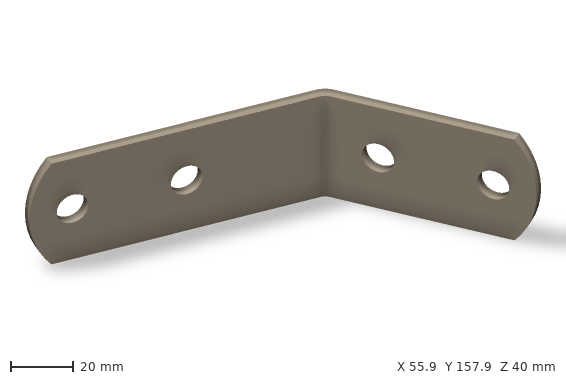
import cadquery as cq
import math

overall_length = 157.9
thickness = 4.0
width = 40.0
bend_angle = 45.0
inner_bend_radius = 4.0
short_leg_length = 71.7
end_radius = 30.0
hole_diameter = 11.0
hole_setbacks = (15.0, 55.0)

outer_bend_radius = inner_bend_radius + thickness
bend_rise = (outer_bend_radius + short_leg_length) * math.sin(math.radians(bend_angle))
long_leg_length = overall_length - bend_rise
end_sagitta = end_radius - math.sqrt(end_radius**2 - (width / 2) ** 2)


def make_leg(length):
    """Flat leg from Y = 0 toward +Y, with its outer face on X = 0."""
    half_width = width / 2
    shoulder = length - end_sagitta
    plate = (
        cq.Workplane("YZ")
        .moveTo(0, -half_width)
        .lineTo(shoulder, -half_width)
        .threePointArc((length, 0), (shoulder, half_width))
        .lineTo(0, half_width)
        .close()
        .extrude(thickness)
    )
    holes = (
        cq.Workplane("YZ")
        .pushPoints([(length - setback, 0) for setback in hole_setbacks])
        .circle(hole_diameter / 2)
        .extrude(thickness)
    )
    return plate.cut(holes)


def make_bend():
    """Cylindrical bend between the legs, centred on X = outer_bend_radius, Y = 0."""
    section = (
        cq.Workplane("XZ")
        .center(thickness / 2, 0)
        .rect(thickness, width)
    )
    axis_offset = outer_bend_radius - thickness / 2
    return section.revolve(bend_angle, (axis_offset, 1.5, 0), (axis_offset, 0, 0))


long_leg = make_leg(long_leg_length).mirror("XZ")
short_leg = make_leg(short_leg_length).rotate(
    (outer_bend_radius, 0, 0), (outer_bend_radius, 0, 1), -bend_angle
)

result = long_leg.union(make_bend()).union(short_leg)